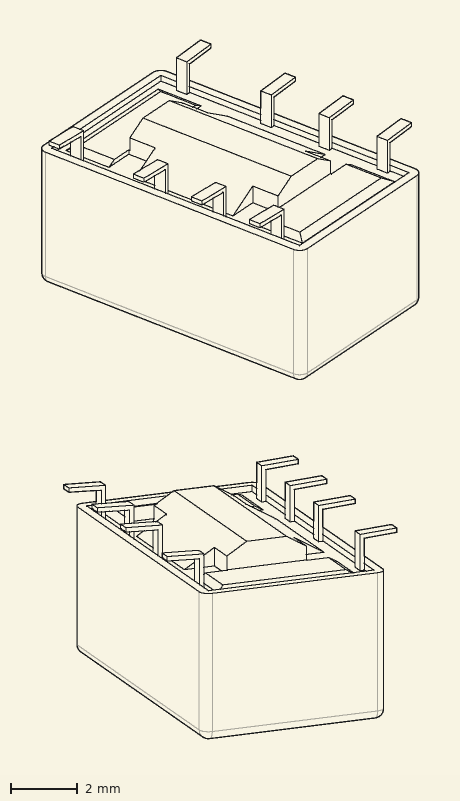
import cadquery as cq

case_length = 10.0
case_width = 6.0
case_height = 4.65
edge_radius = 0.3

rim_width = 0.3
recess_depth = 0.2
floor_z = case_height - recess_depth

ridge_length = 5.62
ridge_wide_length = 3.7
ridge_base_width = 4.56
ridge_end_width = 2.6
ridge_top_width = 1.3
ridge_rise = 0.77
ridge_top_z = case_height + ridge_rise
ridge_height = ridge_top_z - floor_z

pad_outer_length = 8.96
pad_inner_length = 5.7
pad_width = ridge_base_width
pad_end_bevel = 0.3
pad_side_bevel = 0.27
pad_height = 0.15

lead_positions = (-3.8, -0.6, 1.6, 3.8)
lead_width = 0.4
lead_thickness = 0.14
lead_inner_y = 2.55
lead_tip_y = 3.75
lead_rise = 1.0
lead_foot_drop = 0.06
lead_tip_z = case_height + lead_rise


def floor_block(length, width, height):
    """Plain centred block standing on the recess floor."""
    return cq.Workplane("XY", origin=(0, 0, floor_z)).rect(length, width).extrude(height)


def make_case():
    case = (
        cq.Workplane("XY")
        .box(case_length, case_width, case_height, centered=(True, True, False))
        .edges("|Z or <Z")
        .fillet(edge_radius)
    )
    recess = floor_block(case_length - 2 * rim_width, case_width - 2 * rim_width, recess_depth)
    return case.cut(recess)


def make_ridge():
    """Trapezoidal bar trimmed to a cross-shaped footprint."""
    base_y = ridge_base_width / 2
    top_y = ridge_top_width / 2
    profile = [
        (-base_y, floor_z),
        (-top_y, ridge_top_z),
        (top_y, ridge_top_z),
        (base_y, floor_z),
    ]
    bar = cq.Workplane("YZ").polyline(profile).close().extrude(ridge_length / 2, both=True)
    wide_middle = floor_block(ridge_wide_length, ridge_base_width, ridge_height)
    narrow_ends = floor_block(ridge_length, ridge_end_width, ridge_height)
    return bar.intersect(wide_middle.union(narrow_ends))


def make_pads():
    """Both end pads: one bevelled block with its middle removed, then joined to the ridge ends."""
    bevelled_block = (
        cq.Workplane("XY", origin=(0, 0, floor_z))
        .rect(pad_outer_length, pad_width)
        .workplane(offset=pad_height)
        .rect(pad_outer_length - 2 * pad_end_bevel, pad_width - 2 * pad_side_bevel)
        .loft(ruled=True)
    )
    middle = floor_block(pad_inner_length, pad_width, pad_height)
    bridge_to_ridge = floor_block(pad_inner_length, ridge_end_width, pad_height)
    return bevelled_block.cut(middle).union(bridge_to_ridge)


def make_lead(x, side):
    """One lead rising from the recess floor and bent outward; side is +1 or -1 along Y."""
    outer_y = lead_inner_y + lead_thickness
    bend_z = lead_tip_z - lead_foot_drop
    profile = [
        (lead_inner_y, floor_z),
        (lead_inner_y, bend_z),
        (lead_tip_y, lead_tip_z),
        (lead_tip_y, lead_tip_z - lead_thickness),
        (outer_y, bend_z - lead_thickness),
        (outer_y, floor_z),
    ]
    return (
        cq.Workplane("YZ", origin=(x, 0, 0))
        .polyline([(side * y, z) for y, z in profile])
        .close()
        .extrude(lead_width / 2, both=True)
    )


result = make_case().union(make_pads()).union(make_ridge())
for position in lead_positions:
    for side in (-1, 1):
        result = result.union(make_lead(position, side))